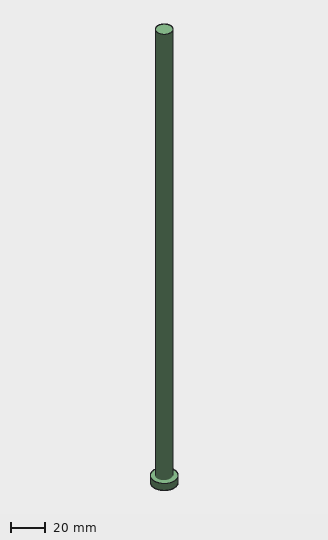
import cadquery as cq

total_length = 320.0
head_diameter = 16.0
head_height = 5.0
shank_diameter = 10.2
root_fillet_radius = 0.3


def make_head():
    """Round head with its underside on the XY plane."""
    return cq.Workplane("XY").circle(head_diameter / 2).extrude(head_height)


def add_shank(head):
    """Round shank rising from the top of the head to the full length."""
    shank_length = total_length - head_height
    return head.faces(">Z").workplane().circle(shank_diameter / 2).extrude(shank_length)


def fillet_shank_root(pin):
    """Small fillet around the shank where it leaves the head."""
    shoulder_face = pin.faces(cq.selectors.NearestToPointSelector((0, 0, head_height)))
    root_edge = shoulder_face.edges(cq.selectors.RadiusNthSelector(0))
    return root_edge.fillet(root_fillet_radius)


result = fillet_shank_root(add_shank(make_head()))